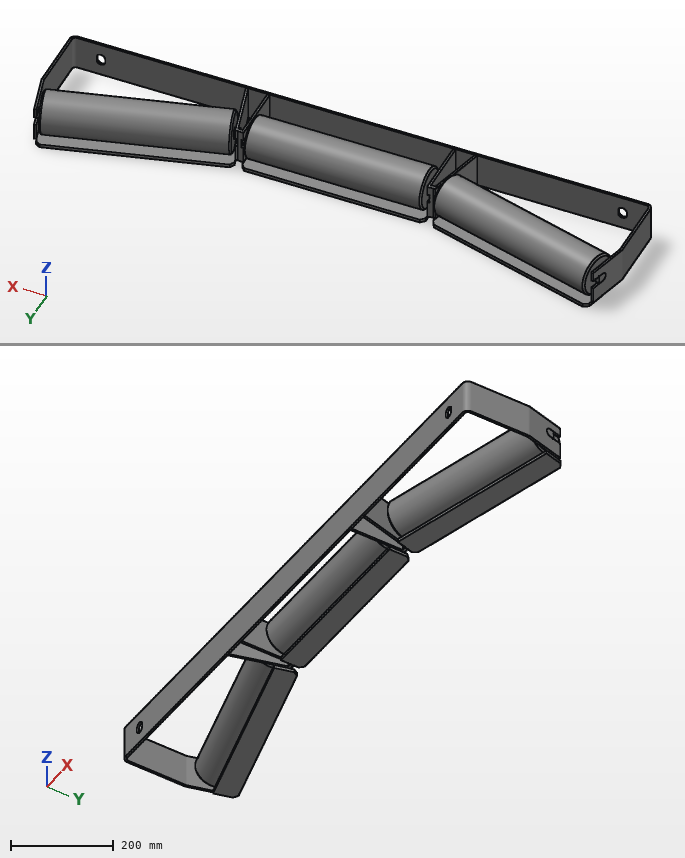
import cadquery as cq
import math

FRAME_LENGTH = 1240.0
STRIP_HEIGHT = 76.0
STRIP_THICKNESS = 5.0
BEND_RADIUS = 12.0
TROUGH_ANGLE = 15.0

ROLLER_RADIUS = 45.0
ROLLER_LENGTH = 380.0
ROLLER_CHAMFER = 4.0
ROLLER_AXIS_Z = 46.0
CENTRE_ROLLER_Y = 100.0
SIDE_ROLLER_X = 410.0
SIDE_ROLLER_Y = 153.0

SUPPORT_GAP = 392.0
SLOT_WIDTH = 19.0
JOURNAL_RISE = 10.0
TIP_RISE = 30.0

GUARD_THICKNESS = 7.0
GUARD_FRONT = 5.0
GUARD_CHAMFER = 9.0

MOUNT_HOLE_X = 557.0
MOUNT_HOLE_WIDTH = 19.0
MOUNT_HOLE_HEIGHT = 25.0
BRIDGE_DEPTH = 7.0

HALF_LENGTH = FRAME_LENGTH / 2
HALF_GAP = SUPPORT_GAP / 2
SUPPORT_OUTSIDE = HALF_GAP + STRIP_THICKNESS
INNER_BEND_RADIUS = BEND_RADIUS - STRIP_THICKNESS
TILT = math.radians(TROUGH_ANGLE)
FRAME_CENTRE_Z = STRIP_HEIGHT / 2

STATIONS = [
    (-SIDE_ROLLER_X, SIDE_ROLLER_Y, -TROUGH_ANGLE),
    (0, CENTRE_ROLLER_Y, 0),
    (SIDE_ROLLER_X, SIDE_ROLLER_Y, TROUGH_ANGLE),
]


def place(shape, station):
    """Move a shape built around a roller centre in the XY plane to its station."""
    x, y, tilt = station
    return shape.rotate((0, 0, 0), (0, 0, 1), tilt).translate((x, y, 0))


def right_roller_point(along, across):
    """XY point given along and across the axis of the right-hand roller."""
    x = SIDE_ROLLER_X + along * math.cos(TILT) - across * math.sin(TILT)
    y = SIDE_ROLLER_Y + along * math.sin(TILT) + across * math.cos(TILT)
    return x, y


def mirrored_pair(shape):
    """A shape on the +X side together with its mirror image on the -X side."""
    return [shape, shape.mirror("YZ")]


def roller_plane(start_x):
    """Plane square to the roller axis, with its origin on that axis."""
    return cq.Workplane("YZ", origin=(start_x, 0, ROLLER_AXIS_Z))


def journal_bar(rise):
    """Bar across both supports: round bottom about the roller axis, flat top."""
    half = SLOT_WIDTH / 2
    return (
        roller_plane(-SUPPORT_OUTSIDE)
        .moveTo(rise, half)
        .lineTo(0, half)
        .threePointArc((-half, 0), (0, -half))
        .lineTo(rise, -half)
        .close()
        .extrude(2 * SUPPORT_OUTSIDE)
    )


def support_slots():
    """Cutter for the open slots at both ends of a roller, reaching past the tips."""
    return journal_bar(2 * TIP_RISE)


def make_roller():
    """Chamfered roller with a journal that ends flush with the supports."""
    shell = (
        roller_plane(-ROLLER_LENGTH / 2)
        .circle(ROLLER_RADIUS)
        .extrude(ROLLER_LENGTH)
        .faces("<X or >X")
        .chamfer(ROLLER_CHAMFER)
    )
    return shell.union(journal_bar(JOURNAL_RISE))


def make_guard():
    """Flat plate under the rear half of a roller, with two cropped corners."""
    return (
        cq.Workplane("XY")
        .moveTo(0, (ROLLER_RADIUS - GUARD_FRONT) / 2)
        .rect(SUPPORT_GAP, ROLLER_RADIUS + GUARD_FRONT)
        .extrude(-GUARD_THICKNESS)
        .edges("|Z and >Y")
        .chamfer(GUARD_CHAMFER)
    )


def make_frame():
    """Bent strip: straight base, upright ends and arms leaning in to the rollers."""
    tip_outside = right_roller_point(SUPPORT_OUTSIDE, TIP_RISE)
    tip_inside = right_roller_point(HALF_GAP, TIP_RISE)
    inner_x = HALF_LENGTH - STRIP_THICKNESS
    outer_bend_y = tip_outside[1] - (HALF_LENGTH - tip_outside[0]) / math.tan(TILT)
    inner_bend_y = outer_bend_y - STRIP_THICKNESS * math.tan(TILT / 2)

    right_half = [
        (0, 0),
        (HALF_LENGTH, 0),
        (HALF_LENGTH, outer_bend_y),
        tip_outside,
        tip_inside,
        (inner_x, inner_bend_y),
        (inner_x, STRIP_THICKNESS),
        (0, STRIP_THICKNESS),
    ]
    half = cq.Workplane("XY").polyline(right_half).close().extrude(STRIP_HEIGHT)
    bends = [
        (HALF_LENGTH, 0, BEND_RADIUS),
        (inner_x, STRIP_THICKNESS, INNER_BEND_RADIUS),
        (HALF_LENGTH, outer_bend_y, BEND_RADIUS),
        (inner_x, inner_bend_y, INNER_BEND_RADIUS),
    ]
    for x, y, radius in bends:
        corner = cq.selectors.NearestToPointSelector((x, y, FRAME_CENTRE_Z))
        half = half.edges(corner).fillet(radius)
    half = half.cut(place(support_slots(), STATIONS[-1]))
    half = half.cut(mount_hole())
    left, right = mirrored_pair(half)
    return left.union(right)


def mount_hole():
    """Cutter for the upright oblong bolt hole near the right end of the base."""
    return (
        cq.Workplane("XZ", origin=(MOUNT_HOLE_X, 0, FRAME_CENTRE_Z))
        .slot2D(MOUNT_HOLE_HEIGHT, MOUNT_HOLE_WIDTH, 90)
        .extrude(-STRIP_THICKNESS)
    )


def make_bracket():
    """Right-hand bracket: an upright leg and a leaning leg joined near the top."""
    upright_top = CENTRE_ROLLER_Y + TIP_RISE
    upright = (
        cq.Workplane("XY")
        .moveTo(HALF_GAP, STRIP_THICKNESS)
        .lineTo(SUPPORT_OUTSIDE, STRIP_THICKNESS)
        .lineTo(SUPPORT_OUTSIDE, upright_top)
        .lineTo(HALF_GAP, upright_top)
        .close()
        .extrude(STRIP_HEIGHT)
        .cut(place(support_slots(), STATIONS[1]))
    )

    def leg_foot(along):
        """Point where a leaning face meets the top of the frame base."""
        x, y = right_roller_point(along, 0)
        return x + (y - STRIP_THICKNESS) * math.tan(TILT), STRIP_THICKNESS

    leaning_tip = right_roller_point(-SUPPORT_OUTSIDE, TIP_RISE)
    leaning = (
        cq.Workplane("XY")
        .polyline([
            leg_foot(-SUPPORT_OUTSIDE),
            leg_foot(-HALF_GAP),
            right_roller_point(-HALF_GAP, TIP_RISE),
            leaning_tip,
        ])
        .close()
        .extrude(STRIP_HEIGHT)
        .cut(place(support_slots(), STATIONS[-1]))
    )
    bridge = (
        cq.Workplane("XY")
        .polyline([
            (SUPPORT_OUTSIDE, upright_top - BRIDGE_DEPTH),
            right_roller_point(-SUPPORT_OUTSIDE, TIP_RISE - BRIDGE_DEPTH),
            leaning_tip,
            (SUPPORT_OUTSIDE, upright_top),
        ])
        .close()
        .extrude(STRIP_HEIGHT)
    )
    return upright.union(leaning).union(bridge)


frame = make_frame()
brackets = mirrored_pair(make_bracket())
rollers = [place(make_roller(), station) for station in STATIONS]
guards = [place(make_guard(), station) for station in STATIONS]

bodies = [frame, *brackets, *rollers, *guards]
result = cq.Compound.makeCompound([body.solids().val() for body in bodies])